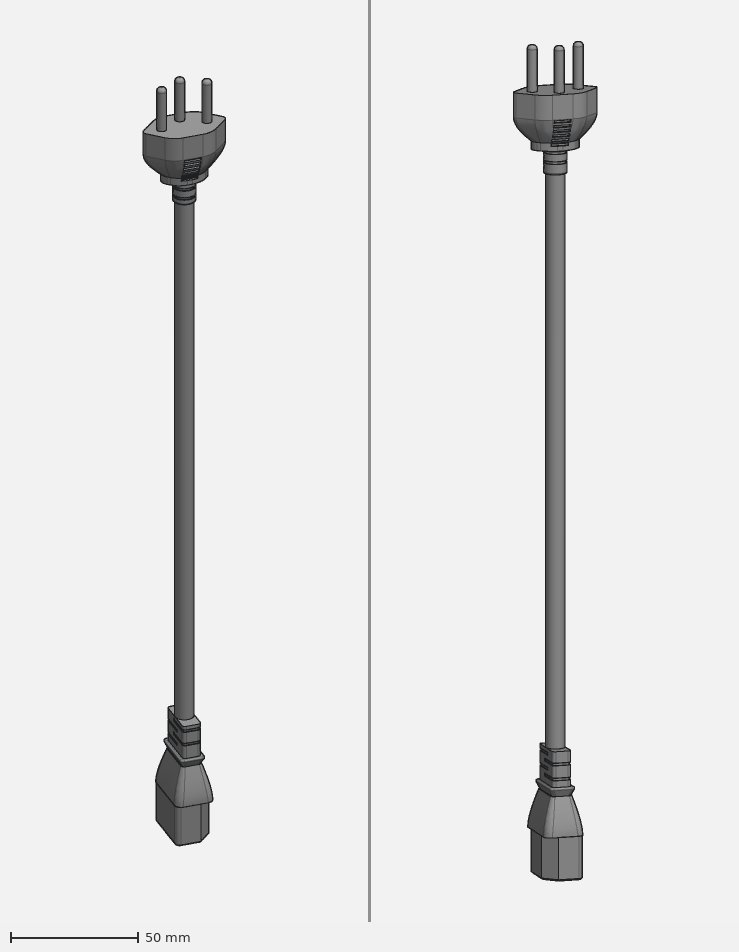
import cadquery as cq

total_height = 334.0
connector_base_top = 17.7
hood_shoulder = 24.0
hood_top = 33.5
bead_top = 37.0
cable_bottom = 51.5
cable_top = 282.0
collar_bottom = 292.0
collar_top = 295.3
taper_middle = 300.5
plug_rim = 305.3
plug_face = 315.3

base_length = 24.0
base_width = 15.7
base_corner_radius = 2.0
base_key_chamfer = 5.5
base_mouth_chamfer = 0.7
hood_length = 25.5
hood_width = 16.0
hood_top_width = 8.7
shoulder_inset = 1.7
hood_corner_radius = 2.7
bead_length = 21.0
bead_width = 11.0
bead_fillet = 0.7
neck_length = 17.7
neck_width = 7.7
neck_corner_radius = 1.5

slot_height = 1.0
slot_depth = 0.5
connector_slot_top = 49.8
connector_slot_pitch = 3.0
connector_slot_overlap = 2.0
plug_slot_top = 291.2
plug_slot_pitch = 2.0
slot_count = 4

cable_diameter = 7.7
sleeve_radius = 4.7
sleeve_end_fillet = 0.7
plug_half_width = 9.7
plug_side_radius = 9.5
head_size = (plug_half_width, 18.0, 8.0, 1.85)
taper_middle_size = (8.7, 16.5, 7.0, 2.5)
collar_size = (6.5, 11.7, 4.7, 4.0)
grip_slot_width = 7.0
grip_slot_top = 305.0
grip_slope = 0.3
grip_slot_pitch = 2.0
grip_slot_count = 6
grip_slot_depth = 1.5

pin_radius = 2.0
pin_tip_fillet = 1.7
line_pin_spacing = 19.0
earth_pin_offset = 5.0


def rounded_block(length, width, bottom, top, radius):
    block = cq.Workplane("XY", origin=(0, 0, bottom)).rect(length, width).extrude(top - bottom)
    return block.edges("|Z").fillet(radius)


def rounded_section(length, width, height, radius):
    return cq.Sketch().rect(length, width).vertices().fillet(radius).moved(cq.Location((0, 0, height)))


def make_connector():
    connector = make_connector_base().union(make_hood()).union(make_neck())
    return connector.union(make_bead())


def make_connector_base():
    """Rectangular nose with two keyed corners on the +Y side."""
    base = cq.Workplane("XY").rect(base_length, base_width).extrude(connector_base_top)
    base = base.edges("|Z and >Y").chamfer(base_key_chamfer)
    base = base.edges("|Z and <Y").fillet(base_corner_radius)
    return base.faces("<Z").edges().chamfer(base_mouth_chamfer)


def make_hood():
    """Grip that flares smoothly from the neck down to a ledge over the base."""
    ledge = rounded_section(hood_length, hood_width, connector_base_top, hood_corner_radius)
    shoulder = rounded_section(
        hood_length - shoulder_inset, hood_width - shoulder_inset, hood_shoulder, hood_corner_radius
    )
    mouth = rounded_section(neck_length, hood_top_width, hood_top, neck_corner_radius)
    return cq.Workplane("XY").placeSketch(ledge, shoulder, mouth).loft()


def make_bead():
    """Collar that widens upwards around the foot of the neck."""
    foot = rounded_section(neck_length, neck_width, hood_top, neck_corner_radius)
    ridge = rounded_section(bead_length, bead_width, bead_top, neck_corner_radius)
    bead = cq.Workplane("XY").placeSketch(foot, ridge).loft()
    return bead.faces(">Z").edges().fillet(bead_fillet)


def make_neck():
    """Strain relief with slots that open alternately towards +X and -X."""
    neck = rounded_block(neck_length, neck_width, hood_top, cable_bottom, neck_corner_radius)
    for index in range(slot_count):
        side = 1 if index % 2 == 0 else -1
        neck = neck.cut(connector_slot(connector_slot_top - index * connector_slot_pitch, side))
    return neck


def connector_slot(top, side):
    """Shallow slot around one end of the connector neck, open towards side * X."""
    bottom = top - slot_height
    inner_edge = -side * connector_slot_overlap
    core = rounded_block(
        neck_length - 2 * slot_depth,
        neck_width - 2 * slot_depth,
        bottom,
        top,
        neck_corner_radius - slot_depth,
    )
    reach = (
        cq.Workplane("XY", origin=(inner_edge + side * neck_length / 2, 0, bottom))
        .rect(neck_length, 2 * neck_width)
        .extrude(slot_height)
    )
    return reach.cut(core)


def make_cable():
    return (
        cq.Workplane("XY", origin=(0, 0, cable_bottom))
        .circle(cable_diameter / 2)
        .extrude(cable_top - cable_bottom)
    )


def plug_outline(size, height):
    """Six-sided outline, pointed along Y, with rounded tips and rounded side corners."""
    half_width, tip, corner, tip_radius = size
    points = [
        (0, tip),
        (half_width, corner),
        (half_width, -corner),
        (0, -tip),
        (-half_width, -corner),
        (-half_width, corner),
        (0, tip),
    ]
    outline = cq.Sketch().polygon(points)
    outline = outline.vertices(">Y or <Y").fillet(tip_radius).reset()
    outline = outline.vertices(">X or <X").fillet(plug_side_radius).reset()
    return outline.moved(cq.Location((0, 0, height)))


def make_plug():
    head = (
        cq.Workplane("XY")
        .placeSketch(plug_outline(head_size, plug_rim))
        .extrude(plug_face - plug_rim)
    )
    taper = (
        cq.Workplane("XY")
        .placeSketch(
            plug_outline(collar_size, collar_top),
            plug_outline(taper_middle_size, taper_middle),
            plug_outline(head_size, plug_rim),
        )
        .loft()
    )
    collar = (
        cq.Workplane("XY")
        .placeSketch(plug_outline(collar_size, collar_bottom))
        .extrude(collar_top - collar_bottom)
    )
    body = head.union(taper).union(collar)
    for index in range(grip_slot_count):
        for side in (-1, 1):
            body = body.cut(grip_slot(index, side))
    return body.union(make_sleeve())


def grip_slot(index, side):
    """Horizontal finger slot across the flat part of the taper, on one X side."""
    top = grip_slot_top - index * grip_slot_pitch
    depth_at_top = (plug_rim - top) * grip_slope
    floor = plug_half_width - depth_at_top - grip_slot_depth
    return (
        cq.Workplane("XY", origin=(side * (floor + plug_half_width / 2), 0, top - slot_height))
        .rect(plug_half_width, grip_slot_width)
        .extrude(slot_height)
    )


def make_sleeve():
    """Slotted strain relief between the plug and the cable."""
    sleeve = (
        cq.Workplane("XY", origin=(0, 0, cable_top))
        .circle(sleeve_radius)
        .extrude(collar_bottom - cable_top)
    )
    sleeve = sleeve.faces("<Z").edges().fillet(sleeve_end_fillet)
    for index in range(slot_count):
        side = -1 if index % 2 == 0 else 1
        bottom = plug_slot_top - index * plug_slot_pitch - slot_height
        ring = (
            cq.Workplane("XY", origin=(0, 0, bottom))
            .circle(sleeve_radius)
            .circle(sleeve_radius - slot_depth)
            .extrude(slot_height)
        )
        half = (
            cq.Workplane("XY", origin=(side * sleeve_radius, 0, bottom))
            .rect(2 * sleeve_radius, 2 * sleeve_radius)
            .extrude(slot_height)
        )
        sleeve = sleeve.cut(ring.intersect(half))
    return sleeve


def make_pin(x, y):
    pin = cq.Workplane("XY", origin=(x, y, plug_face)).circle(pin_radius).extrude(total_height - plug_face)
    return pin.faces(">Z").edges().fillet(pin_tip_fillet)


connector = make_connector()
cable = make_cable()
plug = make_plug()
pin_places = [(0, line_pin_spacing / 2), (0, -line_pin_spacing / 2), (-earth_pin_offset, 0)]
pins = [make_pin(x, y) for x, y in pin_places]

result = cq.Compound.makeCompound(
    [connector.val(), cable.val(), plug.val(), *[pin.val() for pin in pins]]
)